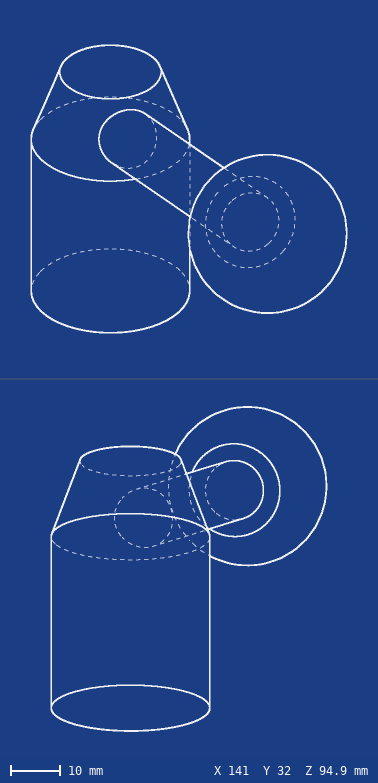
import cadquery as cq
import math

overall_length = 141.0
hub_diameter = 32.0
hub_straight_height = 36.1
hub_height = 52.0
hub_top_diameter = 20.5
ball_diameter = 32.0
ball_flat_distance = 13.0
overall_height = 94.9
rod_diameter = 12.0
rod_angle = 20.0

hub_radius = hub_diameter / 2
ball_radius = ball_diameter / 2
ball_x = overall_length - hub_radius - ball_radius
ball_z = overall_height - ball_radius
slope = math.radians(rod_angle)
rod_direction = cq.Vector(math.cos(slope), 0, math.sin(slope))
ball_center = cq.Vector(ball_x, 0, ball_z)
rod_length = ball_x / math.cos(slope)
rod_start = ball_center - rod_direction * rod_length


def make_hub():
    """Solid cylinder with a tapered upper end."""
    return (
        cq.Workplane("XZ")
        .polyline([
            (0, 0),
            (hub_radius, 0),
            (hub_radius, hub_straight_height),
            (hub_top_diameter / 2, hub_height),
            (0, hub_height),
        ])
        .close()
        .revolve(360, (0, 0), (0, 1))
    )


def make_rod():
    """Sloping round rod from the hub axis to the ball center."""
    return cq.Workplane(cq.Plane(rod_start, (0, 1, 0), rod_direction)).circle(rod_diameter / 2).extrude(rod_length)


def make_ball():
    """Ball knob with a flat square to the rod where the rod enters."""
    flat_center = ball_center - rod_direction * ball_flat_distance
    flat_plane = cq.Plane(flat_center, (0, 1, 0), rod_direction)
    trim = cq.Workplane(flat_plane).circle(ball_radius).extrude(-ball_radius)
    return cq.Workplane("XY").sphere(ball_radius).translate(ball_center).cut(trim)


result = make_hub().union(make_rod()).union(make_ball())